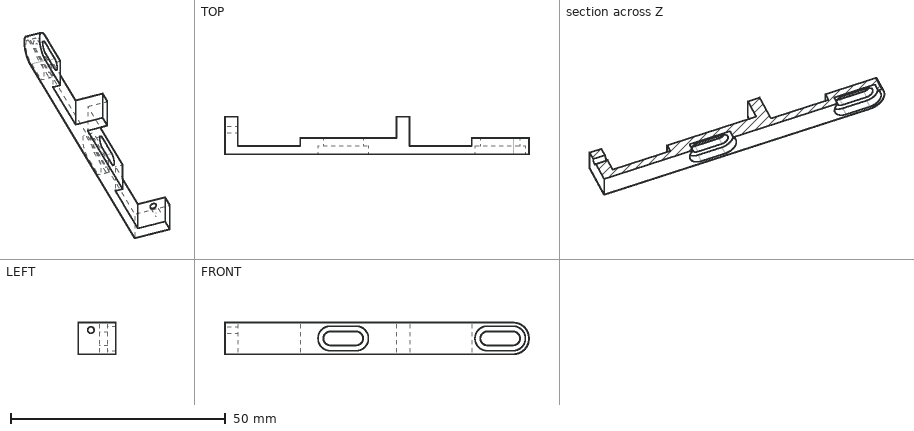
import cadquery as cq

length = 70.8
depth = 8.8
height = 7.4
end_radius = height / 2
end_center_x = length - end_radius

thin = 2.0
thick = 3.8
wall = 3.05
mid_wall_x = 39.9
gap = 14.45
mid_pad_x = wall + gap
end_pad_x = mid_wall_x + wall + gap

slot_travel = 6.0
slot_width = 3.2
recess_width = 5.7
recess_depth = 2.0
slot_pitch = 36.5
end_slot_x = end_center_x - slot_travel / 2

pin_diameter = 1.5
pin_y = 5.8
pin_z = 5.65


def stepped_bar():
    """Bar with two upright walls and two thicker pads."""
    profile = [
        (0, 0),
        (length, 0),
        (length, thick),
        (end_pad_x, thick),
        (end_pad_x, thin),
        (mid_wall_x + wall, thin),
        (mid_wall_x + wall, depth),
        (mid_wall_x, depth),
        (mid_wall_x, thick),
        (mid_pad_x, thick),
        (mid_pad_x, thin),
        (wall, thin),
        (wall, depth),
        (0, depth),
    ]
    return cq.Workplane("XY").polyline(profile).close().extrude(height)


def round_end_envelope():
    """Side outline of the bar: square at X = 0, semicircular at the far end."""
    return (
        cq.Workplane("XZ")
        .lineTo(end_center_x, 0)
        .threePointArc((length, end_radius), (end_center_x, height))
        .lineTo(0, height)
        .close()
        .extrude(-depth)
    )


def slot_cutter(center_x, width, cut_depth):
    """Horizontal slot cut into the front face to the given depth."""
    return (
        cq.Workplane("XZ")
        .center(center_x, height / 2)
        .slot2D(slot_travel + width, width)
        .extrude(-cut_depth)
    )


def pin_cutter():
    """Hole along X through the upright wall at the square end."""
    return (
        cq.Workplane("YZ")
        .center(pin_y, pin_z)
        .circle(pin_diameter / 2)
        .extrude(wall)
    )


result = stepped_bar().intersect(round_end_envelope())
for slot_x in (end_slot_x - slot_pitch, end_slot_x):
    result = result.cut(slot_cutter(slot_x, slot_width, thick))
    result = result.cut(slot_cutter(slot_x, recess_width, recess_depth))
result = result.cut(pin_cutter())